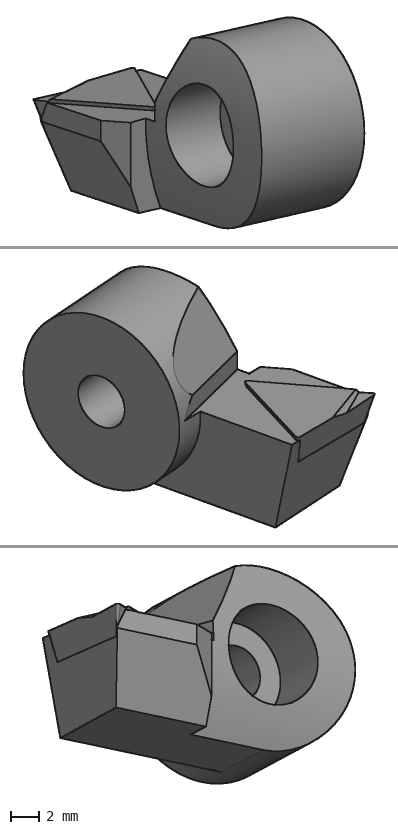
import cadquery as cq
import math

EYE_DIAMETER = 13.8
EYE_RADIUS = EYE_DIAMETER / 2
EYE_FRONT_Y = -9.5
EYE_EDGE_DROP = 1.4
BORE_DIAMETER = 4.1
COUNTERBORE_DIAMETER = 7.5
COUNTERBORE_FLOOR_Y = -4.5

OVERALL_LENGTH = 21.93
TIP_X = EYE_RADIUS - OVERALL_LENGTH
SHANK_RIGHT_X = -6.03
SHANK_BACK_Y = -2.52
SHANK_FRONT_Y = -12.0
CORNER_CUT_X = 1.95
CORNER_CUT_Y = 1.15
UNDERCUT_TOP_Z = -1.67
UNDERCUT_DEPTH = 1.89

TILT_ANGLE = 3.0
CLEARANCE_ANGLE = 11.5
CLEARANCE_SLOPE = math.tan(math.radians(CLEARANCE_ANGLE))

RELIEF_WALL_X = -5.0
RELIEF_WALL_HEIGHT = 1.5
RELIEF_FLARE_ANGLE = 30.0
RELIEF_TURN_ANGLE = 12.0

INSERT_SIDE = 9.63
INSERT_THICKNESS = 2.37
INSERT_PROUD = 0.3
INSERT_CENTER_Y = -7.87
NOSE_RADIUS = 0.2
BASE_NOSE_RADIUS = 0.02

BREAKER_FLOOR_Z = -0.02
BREAKER_START_Y = -8.85
BREAKER_TURN_ANGLE = 20.0
BREAKER_WALL_ANGLE = 40.0

REACH = 32.9


def lean(shape):
    """Tilt a shape about X and set its zero level on the leaning shank top."""
    return shape.rotate((0, 0, 0), (1, 0, 0), TILT_ANGLE).translate((0, EYE_FRONT_Y, 0))


def make_eye():
    """Round eye, squared off at its lower left where it runs into the shank, with a rounded front."""
    depth = -EYE_FRONT_Y
    eye = cq.Workplane("XZ").circle(EYE_RADIUS).extrude(depth)
    corner_filler = (
        cq.Workplane("XZ", origin=(0, SHANK_BACK_Y, 0))
        .moveTo(SHANK_RIGHT_X, -EYE_RADIUS)
        .lineTo(0, -EYE_RADIUS)
        .lineTo(0, 0)
        .lineTo(SHANK_RIGHT_X, 0)
        .close()
        .extrude(depth + SHANK_BACK_Y)
    )
    edge_y = EYE_FRONT_Y + EYE_EDGE_DROP
    envelope = (
        cq.Workplane("YZ")
        .moveTo(0, -EYE_RADIUS)
        .lineTo(edge_y, -EYE_RADIUS)
        .threePointArc((EYE_FRONT_Y, 0), (edge_y, EYE_RADIUS))
        .lineTo(0, EYE_RADIUS)
        .close()
        .extrude(EYE_RADIUS, both=True)
    )
    return eye.union(corner_filler).intersect(envelope)


def make_shank():
    """Block with one cut corner, a sloping undercut front and a relieved end face."""
    block = (
        cq.Workplane("XY", origin=(0, 0, -EYE_RADIUS))
        .moveTo(TIP_X, SHANK_BACK_Y)
        .lineTo(SHANK_RIGHT_X, SHANK_BACK_Y)
        .lineTo(SHANK_RIGHT_X, SHANK_FRONT_Y + CORNER_CUT_Y)
        .lineTo(SHANK_RIGHT_X - CORNER_CUT_X, SHANK_FRONT_Y)
        .lineTo(TIP_X, SHANK_FRONT_Y)
        .close()
        .extrude(EYE_DIAMETER)
    )
    undercut = (
        cq.Workplane("YZ")
        .moveTo(SHANK_FRONT_Y, UNDERCUT_TOP_Z)
        .lineTo(SHANK_FRONT_Y + UNDERCUT_DEPTH, -EYE_RADIUS)
        .lineTo(SHANK_FRONT_Y, -EYE_RADIUS)
        .close()
        .extrude(REACH, both=True)
    )
    end_relief = lean(
        cq.Workplane("XZ")
        .moveTo(TIP_X, INSERT_PROUD)
        .lineTo(TIP_X + REACH * CLEARANCE_SLOPE, INSERT_PROUD - REACH)
        .lineTo(TIP_X - REACH, INSERT_PROUD - REACH)
        .lineTo(TIP_X - REACH, INSERT_PROUD)
        .close()
        .extrude(REACH, both=True)
    )
    return block.cut(undercut).cut(end_relief)


def make_relief_cutter():
    """Space above the shank top, bounded by a short wall and a flared face turned about Z."""
    flare_height = REACH - RELIEF_WALL_HEIGHT
    flare_width = flare_height * math.tan(math.radians(RELIEF_FLARE_ANGLE))
    cutter = (
        cq.Workplane("XZ")
        .moveTo(0, 0)
        .lineTo(0, RELIEF_WALL_HEIGHT)
        .lineTo(flare_width, REACH)
        .lineTo(-REACH, REACH)
        .lineTo(-REACH, 0)
        .close()
        .extrude(REACH, both=True)
        .rotate((0, 0, 0), (0, 0, 1), RELIEF_TURN_ANGLE)
        .translate((RELIEF_WALL_X, 0, 0))
    )
    return lean(cutter)


def make_bore():
    """Through bore with a counterbore open to the front."""
    bore = cq.Workplane("XZ").circle(BORE_DIAMETER / 2).extrude(REACH)
    counterbore = (
        cq.Workplane("XZ", origin=(0, COUNTERBORE_FLOOR_Y, 0))
        .circle(COUNTERBORE_DIAMETER / 2)
        .extrude(REACH)
    )
    return bore.union(counterbore)


def rounded_triangle(inset, z, radius):
    """Wire of an equilateral triangle pointing to +X, drawn in from the full insert size."""
    inradius = INSERT_SIDE / (2 * math.sqrt(3)) - inset
    center_x = TIP_X + INSERT_SIDE / (2 * math.sqrt(3))
    center_y = INSERT_CENTER_Y - EYE_FRONT_Y
    half_side = inradius * math.sqrt(3)
    triangle = cq.Wire.makePolygon(
        [
            cq.Vector(center_x - inradius, center_y + half_side, z),
            cq.Vector(center_x - inradius, center_y - half_side, z),
            cq.Vector(center_x + 2 * inradius, center_y, z),
        ],
        close=True,
    )
    return triangle.fillet2D(radius, triangle.Vertices())


def make_insert_blank():
    """Tapered triangular plate whose noses sharpen towards the base."""
    base_inset = INSERT_THICKNESS * CLEARANCE_SLOPE
    top = rounded_triangle(0, INSERT_PROUD, NOSE_RADIUS)
    base = rounded_triangle(base_inset, INSERT_PROUD - INSERT_THICKNESS, BASE_NOSE_RADIUS)
    return lean(cq.Workplane(cq.Solid.makeLoft([base, top], True)))


def make_breaker_cutter():
    """Level-floored step across the cutting tip with a sloping back wall."""
    wall_run = REACH / math.tan(math.radians(BREAKER_WALL_ANGLE))
    return (
        cq.Workplane("XZ")
        .moveTo(0, 0)
        .lineTo(wall_run, REACH)
        .lineTo(-REACH, REACH)
        .lineTo(-REACH, 0)
        .close()
        .extrude(REACH, both=True)
        .rotate((0, 0, 0), (0, 0, 1), BREAKER_TURN_ANGLE)
        .translate((TIP_X, BREAKER_START_Y, BREAKER_FLOOR_Z))
    )


insert_blank = make_insert_blank()
holder = make_eye().union(make_shank()).cut(make_relief_cutter()).cut(make_bore()).cut(insert_blank)
insert = insert_blank.cut(make_breaker_cutter())

result = cq.Compound.makeCompound([holder.val(), insert.val()])